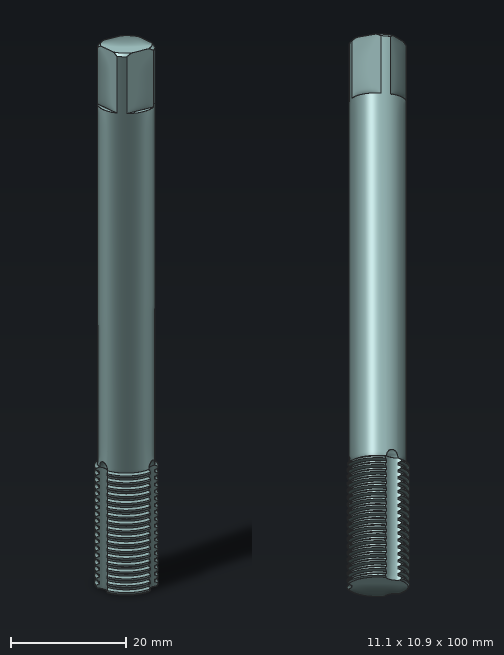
import cadquery as cq
import math

total_length = 100.0
shank_radius = 5.0
square_side = 8.2
square_length = 11.0
top_chamfer = 0.5

thread_radius = 5.55
thread_pitch = 1.27
tooth_count = 18
tooth_crest = 0.3
tooth_flank_angle = 30.0
first_tooth_height = 0.4
end_chamfer = 0.25

flute_count = 3
flute_radius = 2.0
flute_axis_distance = 6.5
first_flute_angle = -90.0

tooth_flank = (thread_radius - shank_radius) * math.tan(math.radians(tooth_flank_angle))
last_tooth_height = first_tooth_height + (tooth_count - 1) * thread_pitch
thread_length = last_tooth_height + tooth_crest / 2 + tooth_flank


def make_flute(angle):
    """Round groove, closed at the top of the thread by a ball-shaped end."""
    groove = cq.Workplane("XY").circle(flute_radius).extrude(thread_length)
    ball_end = cq.Workplane("XY", origin=(0, 0, thread_length)).sphere(flute_radius)
    cutter = groove.union(ball_end).translate((flute_axis_distance, 0, 0))
    return cutter.rotate((0, 0, 0), (0, 0, 1), angle)


def cut_flutes(body):
    for index in range(flute_count):
        body = body.cut(make_flute(first_flute_angle + index * 360 / flute_count))
    return body


def make_shank():
    """Cylinder with a chamfered top, flattened on four sides into the square drive."""
    body = (
        cq.Workplane("XY", origin=(0, 0, thread_length))
        .circle(shank_radius)
        .extrude(total_length - thread_length)
        .faces(">Z")
        .chamfer(top_chamfer)
    )
    around_square = (
        cq.Workplane("XY", origin=(0, 0, total_length - square_length))
        .circle(2 * shank_radius)
        .rect(square_side, square_side)
        .extrude(square_length)
    )
    return cut_flutes(body.cut(around_square))


def make_thread():
    """Ringed cylinder: the first tooth reaches the end face, where it is chamfered."""
    outline = cq.Workplane("XZ").lineTo(thread_radius - end_chamfer, 0).lineTo(thread_radius, end_chamfer)
    for index in range(tooth_count):
        middle = first_tooth_height + index * thread_pitch
        crest_bottom = middle - tooth_crest / 2
        crest_top = middle + tooth_crest / 2
        if index > 0:
            outline = outline.lineTo(shank_radius, crest_bottom - tooth_flank).lineTo(thread_radius, crest_bottom)
        outline = outline.lineTo(thread_radius, crest_top).lineTo(shank_radius, crest_top + tooth_flank)
    body = outline.lineTo(0, thread_length).close().revolve(360, (0, 0, 0), (0, 1, 0))
    return cut_flutes(body)


shank = make_shank()
thread = make_thread()

result = cq.Compound.makeCompound([shank.val(), thread.val()])